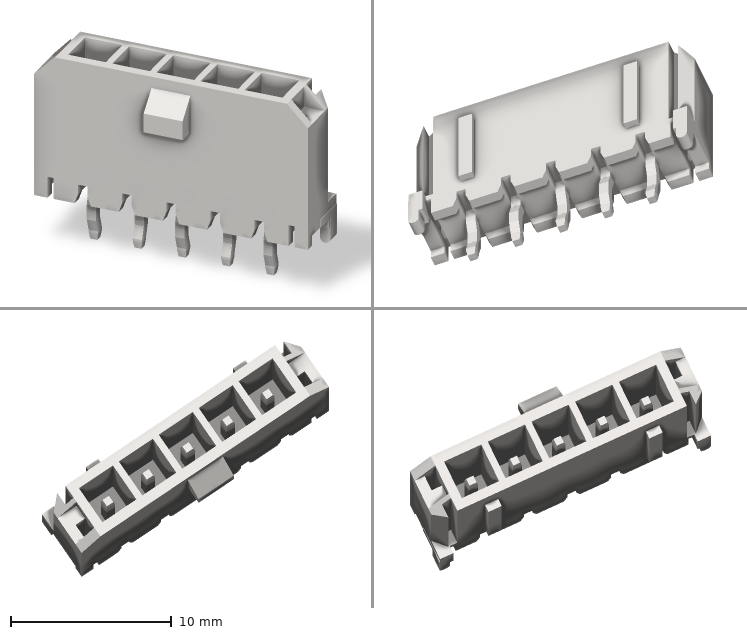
import cadquery as cq


body_length = 18.61
body_depth = 3.88
body_height = 9.88
half_length = body_length / 2
corner_chamfer = 1.42
shoulder_z = body_height - corner_chamfer
core_half_length = half_length - corner_chamfer
wall = 0.67

pitch = 3.0
pin_count = 5
cavity_width = 2.55
cavity_depth = 2.6
cavity_floor_z = 2.42

pin_size = 0.63
pin_y = 1.94
pin_top_z = 7.46
pin_bottom_z = -3.19
pin_taper_height = 0.5
pin_taper_inset = 0.07
kink_offset = 0.28
kink_start_z = 0.22
kink_full_z = -0.67
kink_return_z = -1.7
kink_end_z = -2.54

shoulder_pocket_depth = 1.98
back_chamfer = 0.8
back_notch_length = corner_chamfer - back_chamfer
back_notch_depth = 0.91
well_length = 0.73
well_depth = 1.0

channel_height = 0.67
channel_back_y = 3.25
end_slot_width = 0.4
end_slot_height = 1.45
end_slot_offset = 0.91
pin_notch_height = 1.35
pin_notch_flare_z = channel_height
pin_notch_flare_width = 1.1

leg_back_y = 4.38
leg_top_z = 1.9
foot_width = 0.7
foot_front_y = 3.38
foot_bottom_z = -1.14
insert_overhang = 0.04
insert_front_y = 1.95
insert_top_z = 1.23

rail_width = 0.91
rail_spacing = 11.06
rail_bottom_z = 2.18
rail_top_z = 8.19

latch_width = 2.65
latch_reach = 1.2
latch_top_z = 9.1
latch_ramp_z = 7.87
latch_bottom_z = 6.56
latch_fillet = 0.22

pin_positions = [(i - (pin_count - 1) / 2) * pitch for i in range(pin_count)]


def block(x0, x1, y0, y1, z0, z1):
    """Box between opposite corners."""
    return cq.Workplane("XY").box(x1 - x0, y1 - y0, z1 - z0, centered=False).translate((x0, y0, z0))


def both_ends(shape):
    """Shape at the +X end together with its mirror image at the -X end."""
    return shape.union(shape.mirror("YZ"))


def front_extrusion(points, y0, y1):
    """Extrude an XZ outline from y0 back to y1."""
    return cq.Workplane("XZ", origin=(0, y0, 0)).polyline(points).close().extrude(y0 - y1)


def side_extrusion(points, x_middle, width):
    """Extrude a YZ outline along X, centred on x_middle."""
    plane = cq.Workplane("YZ", origin=(x_middle, 0, 0))
    return plane.polyline(points).close().extrude(width / 2, both=True)


def housing_shell():
    """Plate with chamfered top corners, hollowed by one open-topped cavity per pin."""
    outline = [
        (-half_length, 0),
        (half_length, 0),
        (half_length, shoulder_z),
        (core_half_length, body_height),
        (-core_half_length, body_height),
        (-half_length, shoulder_z),
    ]
    shell = front_extrusion(outline, 0, body_depth)
    for x in pin_positions:
        half = cavity_width / 2
        shell = shell.cut(block(x - half, x + half, wall, wall + cavity_depth, cavity_floor_z, body_height))
    return shell


def shoulder_cuts():
    """Open pocket, well, upright back notch and bevelled back corner of each end."""
    pocket = block(core_half_length, half_length, wall, wall + shoulder_pocket_depth, shoulder_z, body_height)
    well = block(core_half_length, core_half_length + well_length, wall, wall + well_depth,
                 end_slot_height, shoulder_z)
    notch = block(core_half_length, core_half_length + back_notch_length,
                  body_depth - back_notch_depth, body_depth, leg_top_z, body_height)
    bevel = (
        cq.Workplane("XY", origin=(0, 0, leg_top_z))
        .moveTo(half_length, body_depth - back_chamfer)
        .lineTo(half_length, body_depth)
        .lineTo(half_length - back_chamfer, body_depth)
        .close()
        .extrude(body_height - leg_top_z)
    )
    return both_ends(pocket.union(well).union(notch).union(bevel))


def underside_cuts():
    """Lengthwise channel, end slots and a flared notch along Y through each pin position."""
    cuts = block(-half_length, half_length, wall, channel_back_y, 0, channel_height)
    slot_outer_x = half_length - end_slot_offset
    end_slot = block(slot_outer_x - end_slot_width, slot_outer_x, 0, body_depth, 0, end_slot_height)
    cuts = cuts.union(both_ends(end_slot))
    throat = pin_size / 2
    flare = pin_notch_flare_width / 2
    for x in pin_positions:
        outline = [
            (x - flare, 0),
            (x + flare, 0),
            (x + throat, pin_notch_flare_z),
            (x + throat, pin_notch_height),
            (x - throat, pin_notch_height),
            (x - throat, pin_notch_flare_z),
        ]
        cuts = cuts.union(front_extrusion(outline, 0, body_depth))
    return cuts


def leg():
    """Block behind the +X end and the round-ended foot that hangs below it."""
    base = block(half_length - end_slot_offset, half_length, channel_back_y, leg_back_y, 0, leg_top_z)
    foot_radius = foot_width / 2
    foot = (
        cq.Workplane("XZ", origin=(0, foot_front_y, 0))
        .moveTo(half_length - foot_width, channel_height)
        .lineTo(half_length - foot_width, foot_bottom_z + foot_radius)
        .threePointArc((half_length - foot_radius, foot_bottom_z), (half_length, foot_bottom_z + foot_radius))
        .lineTo(half_length, channel_height)
        .close()
        .extrude(foot_front_y - leg_back_y)
    )
    return base, foot


def legs():
    """Both legs; the +X foot stands proud of the end face on a thin plate."""
    base, foot = leg()
    plate = block(half_length, half_length + insert_overhang, insert_front_y, leg_back_y,
                  channel_height, insert_top_z)
    right_foot = foot.translate((insert_overhang, 0, 0))
    return both_ends(base).union(foot.mirror("YZ")).union(right_foot).union(plate)


def rails():
    """Two upright rails on the back face."""
    inner_x = (rail_spacing - rail_width) / 2
    return both_ends(block(inner_x, inner_x + rail_width, body_depth, leg_back_y, rail_bottom_z, rail_top_z))


def latch():
    """Ramped catch on the front face, filleted into it underneath."""
    profile = (
        cq.Workplane("YZ")
        .moveTo(0, latch_top_z)
        .lineTo(-latch_reach, latch_ramp_z)
        .lineTo(-latch_reach, latch_bottom_z)
        .lineTo(-latch_fillet, latch_bottom_z)
        .radiusArc((0, latch_bottom_z - latch_fillet), latch_fillet)
        .close()
    )
    return profile.extrude(latch_width / 2, both=True)


def taper(x, z, direction):
    """Square pin tip narrowing from z towards +Z (direction 1) or -Z (direction -1)."""
    tip_size = pin_size - 2 * pin_taper_inset
    return (
        cq.Workplane("XY", origin=(x, pin_y, z))
        .rect(pin_size, pin_size)
        .workplane(offset=direction * pin_taper_height)
        .rect(tip_size, tip_size)
        .loft(ruled=True)
    )


def pin(x, bulge):
    """Square pin tapered at both ends, its tail kinked along Y by bulge."""
    front = pin_y - pin_size / 2
    back = pin_y + pin_size / 2
    shank_top = pin_top_z - pin_taper_height
    shank_bottom = pin_bottom_z + pin_taper_height
    kink = [
        (shank_top, 0),
        (kink_start_z, 0),
        (kink_full_z, bulge),
        (kink_return_z, bulge),
        (kink_end_z, 0),
        (shank_bottom, 0),
    ]
    outline = [(front + shift, z) for z, shift in kink]
    outline += [(back + shift, z) for z, shift in reversed(kink)]
    shank = side_extrusion(outline, x, pin_size)
    return shank.union(taper(x, shank_top, 1)).union(taper(x, shank_bottom, -1))


result = housing_shell().cut(shoulder_cuts()).union(legs()).cut(underside_cuts())
result = result.union(rails()).union(latch())
for index, pin_x in enumerate(pin_positions):
    bulge = kink_offset if index % 2 else -kink_offset
    result = result.union(pin(pin_x, bulge))